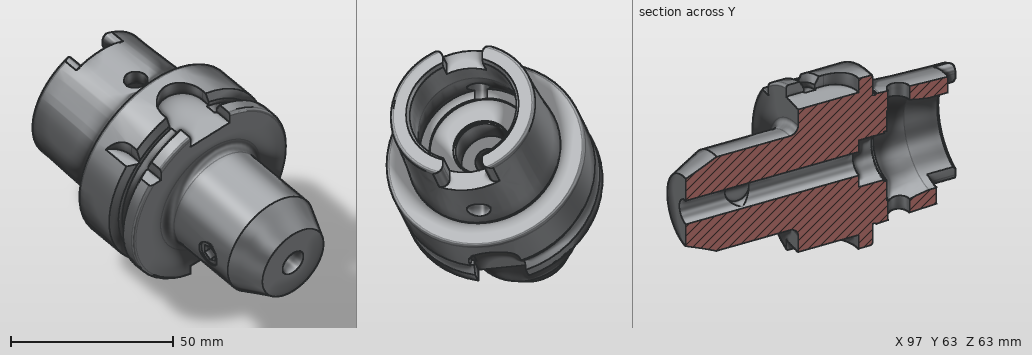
import cadquery as cq
import math


shank_end_radius = 22.9
shank_end_round = 1.0
shank_length = 30.0
shank_big_radius = 24.2
relief_land = 0.8
relief_radius = 23.8

flange_start = 32.0
flange_end = 58.0
flange_diameter = 63.0
flange_radius = flange_diameter / 2
flange_round = 0.92
groove_center = 50.0
groove_floor_width = 3.8
groove_mouth_width = 6.7
groove_shoulder_radius = 28.9
groove_radius = 27.4

nose_radius = 17.5
nose_fillet = 2.9
nose_cone_start = 86.3
nose_end_radius = 12.5
total_length = 97.0

shank_bore_radius = 16.9
shank_bore_chamfer = 1.0
undercut_start = 12.6
undercut_cone_end = 24.9
undercut_end = 26.1
undercut_radius = 19.4
bore_floor = 27.2
floor_radius = 16.4
thread_relief_radius = 9.1
thread_relief_depth = 1.0
thread_radius = 8.5
thread_depth = 9.7
tool_bore_radius = 4.3

drive_slot_width = 12.5
drive_slot_top_depth = 5.9
drive_slot_bottom_depth = 9.9
drive_slot_round = 2.3

cross_hole_x = 23.0
cross_hole_radius = 3.7

keyway_width = 16.0
keyway_center = 45.0
keyway_floor = 26.4

notch_center = 43.9
notch_radius = 7.8
notch_wall_y = 20.1
notch_floor_z = 19.9

screw_x = 77.0
screw_radius = 4.2
screw_head_distance = 16.6
hex_across_flats = 5.0
hex_depth = 3.6


def body_blank():
    """Solid of revolution: shank, flange and nose."""
    land_end = shank_length + relief_land
    step = shank_big_radius - relief_radius
    half_mouth = groove_mouth_width / 2
    half_floor = groove_floor_width / 2
    half_length = (shank_end_round + shank_length) / 2
    mid_rise = (shank_big_radius - shank_end_radius) / 4
    diagonal = 1 - math.sqrt(0.5)
    nose_start = flange_end + nose_fillet
    profile = (
        cq.Workplane("XY")
        .moveTo(0, 0)
        .lineTo(0, shank_end_radius - shank_end_round)
        .threePointArc(
            (shank_end_round * diagonal, shank_end_radius - shank_end_round * diagonal),
            (shank_end_round, shank_end_radius),
        )
        .threePointArc((half_length, shank_end_radius + mid_rise), (shank_length, shank_big_radius))
        .lineTo(land_end, shank_big_radius)
        .lineTo(land_end + step, relief_radius)
        .lineTo(flange_start, relief_radius)
        .lineTo(flange_start, flange_radius - flange_round)
        .threePointArc(
            (flange_start + flange_round * diagonal, flange_radius - flange_round * diagonal),
            (flange_start + flange_round, flange_radius),
        )
        .lineTo(groove_center - half_mouth, flange_radius)
        .lineTo(groove_center - half_floor, groove_shoulder_radius)
        .lineTo(groove_center - half_floor, groove_radius)
        .lineTo(groove_center + half_floor, groove_radius)
        .lineTo(groove_center + half_floor, groove_shoulder_radius)
        .lineTo(groove_center + half_mouth, flange_radius)
        .lineTo(flange_end - flange_round, flange_radius)
        .threePointArc(
            (flange_end - flange_round * diagonal, flange_radius - flange_round * diagonal),
            (flange_end, flange_radius - flange_round),
        )
        .lineTo(flange_end, nose_radius + nose_fillet)
        .threePointArc(
            (flange_end + nose_fillet * diagonal, nose_radius + nose_fillet * diagonal),
            (nose_start, nose_radius),
        )
        .lineTo(nose_cone_start, nose_radius)
        .lineTo(total_length, nose_end_radius)
        .lineTo(total_length, 0)
        .close()
    )
    return profile.revolve(360, (0, 0, 0), (1, 0, 0))


def bore_cutter():
    """Shank bore with its undercut, coolant-tube thread bore and tool bore."""
    relief_end = bore_floor + thread_relief_depth
    thread_end = bore_floor + thread_depth
    profile = cq.Workplane("XY").polyline(
        [
            (0, 0),
            (0, shank_bore_radius + shank_bore_chamfer),
            (shank_bore_chamfer, shank_bore_radius),
            (undercut_start, shank_bore_radius),
            (undercut_cone_end, undercut_radius),
            (undercut_end, undercut_radius),
            (undercut_end, floor_radius),
            (bore_floor, floor_radius),
            (bore_floor, thread_relief_radius),
            (relief_end, thread_relief_radius),
            (relief_end, thread_radius),
            (thread_end, thread_radius),
            (thread_end, tool_bore_radius),
            (total_length, tool_bore_radius),
            (total_length, 0),
        ]
    ).close()
    return profile.revolve(360, (0, 0, 0), (1, 0, 0))


def drive_slot(depth, side):
    """Slot of the given depth across the shank wall, at +Z (side 1) or -Z (side -1).

    Its mouth flares in arcs that run into the round outside of the shank.
    """
    half_width = drive_slot_width / 2
    arc_y = half_width + drive_slot_round
    arc_distance = shank_end_radius - drive_slot_round
    arc_z = math.sqrt(arc_distance**2 - arc_y**2)
    mouth_angle = math.atan2(arc_z, arc_y)
    mid_angle = (mouth_angle + math.pi) / 2
    mid_y = arc_y + drive_slot_round * math.cos(mid_angle)
    mid_z = arc_z + drive_slot_round * math.sin(mid_angle)
    mouth_y = shank_end_radius * math.cos(mouth_angle)
    mouth_z = shank_end_radius * math.sin(mouth_angle)
    outside = flange_radius / shank_end_radius
    return (
        cq.Workplane("YZ")
        .moveTo(-half_width, 0)
        .lineTo(half_width, 0)
        .lineTo(half_width, side * arc_z)
        .threePointArc((mid_y, side * mid_z), (mouth_y, side * mouth_z))
        .lineTo(mouth_y * outside, side * mouth_z * outside)
        .lineTo(-mouth_y * outside, side * mouth_z * outside)
        .lineTo(-mouth_y, side * mouth_z)
        .threePointArc((-mid_y, side * mid_z), (-half_width, side * arc_z))
        .close()
        .extrude(depth)
    )


def open_slot(center, floor_z, width, side):
    """Flat-floored slot running from a round end to the nose side of the flange.

    center is the (x, y) of the round end; the slot opens toward +Z (side 1) or -Z (side -1).
    """
    run_out = flange_end - center[0]
    height = side * (flange_radius - floor_z)
    plane = cq.Workplane("XY", origin=(*center, side * floor_z))
    straight = plane.center(run_out / 2, 0).rect(run_out, width).extrude(height)
    return plane.circle(width / 2).extrude(height).union(straight)


def keyway(side):
    """Keyway on the flange centerline, at +Z (side 1) or -Z (side -1)."""
    return open_slot((keyway_center, 0), keyway_floor, keyway_width, side)


def orientation_notch():
    """Notch that cuts a corner out of the flange rim."""
    center = (notch_center, -notch_wall_y - notch_radius)
    return open_slot(center, notch_floor_z, 2 * notch_radius, 1)


def cross_hole():
    """Hole along Z through both walls of the shank."""
    return (
        cq.Workplane("XY", origin=(cross_hole_x, 0, 0))
        .circle(cross_hole_radius)
        .extrude(shank_big_radius, both=True)
    )


def screw_hole():
    """Radial hole from the -Y side of the nose into the tool bore."""
    return cq.Workplane("XZ", origin=(screw_x, 0, 0)).circle(screw_radius).extrude(nose_radius)


def make_holder():
    """Tool holder: the turned blank with its bores, slots and holes."""
    body = body_blank()
    body = body.cut(bore_cutter())
    body = body.cut(drive_slot(drive_slot_top_depth, 1))
    body = body.cut(drive_slot(drive_slot_bottom_depth, -1))
    for side in (1, -1):
        body = body.cut(keyway(side))
    body = body.cut(orientation_notch())
    body = body.cut(cross_hole())
    return body.cut(screw_hole())


def make_screw():
    """Set screw with a hexagon socket that ends in a drilled cone."""
    shank = (
        cq.Workplane("XZ", origin=(screw_x, -tool_bore_radius, 0))
        .circle(screw_radius)
        .extrude(screw_head_distance - tool_bore_radius)
    )
    corner_radius = hex_across_flats / math.sqrt(3)
    socket = (
        cq.Workplane("XZ", origin=(screw_x, -screw_head_distance, 0))
        .transformed(rotate=(0, 0, 90))
        .polygon(6, 2 * corner_radius)
        .extrude(-hex_depth)
    )
    cone_radius = hex_across_flats / 2
    cone_depth = cone_radius
    cone = cq.Solid.makeCone(
        cone_radius,
        0,
        cone_depth,
        pnt=cq.Vector(screw_x, -screw_head_distance + hex_depth, 0),
        dir=cq.Vector(0, 1, 0),
    )
    return shank.cut(socket).cut(cq.Workplane(cone))


holder = make_holder()
clamping_screw = make_screw()
result = cq.Compound.makeCompound([holder.val(), clamping_screw.val()])